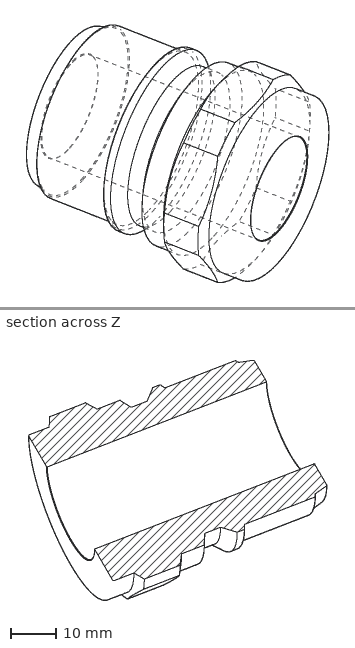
import cadquery as cq

length = 54.0
hex_across_flats = 46.0
hex_corner_radius = 24.45
bore_radius = 12.25
edge_round = 0.45
bore_chamfer = 0.15

nose_tip_radius = 19.0
nose_end = 3.4
nose_end_radius = 19.8
plug_wall_end = 3.55
plug_radius = 20.6
plug_end = 21.05

flange_wall_end = 21.5
flange_radius = 21.8
flange_end = 23.5
groove_radius = 19.0
groove_start = 26.25
groove_end = 30.1
shoulder_start = 31.55

hex_start = 37.1
hex_end = 48.85
hex_front_chamfer = 1.6
hex_rear_chamfer = 1.35
collar_radius = 22.0


def round_up(outline, start, outer_radius):
    """Add a quarter round from a forward-facing wall at X = start up to the outer radius."""
    return outline.radiusArc((start + edge_round, outer_radius), edge_round)


def turned_body():
    """Revolve the stepped outer profile, without the hexagon flats."""
    outline = cq.Workplane("XY").lineTo(0, nose_tip_radius - edge_round)
    outline = round_up(outline, 0, nose_tip_radius)
    outline = outline.lineTo(nose_end, nose_end_radius)

    outline = outline.lineTo(plug_wall_end, plug_radius - edge_round)
    outline = round_up(outline, plug_wall_end, plug_radius)
    outline = outline.lineTo(plug_end, plug_radius)

    outline = outline.lineTo(flange_wall_end, flange_radius - edge_round)
    outline = round_up(outline, flange_wall_end, flange_radius)
    outline = outline.lineTo(flange_end, flange_radius)
    outline = outline.lineTo(groove_start, groove_radius)
    outline = outline.lineTo(groove_end, groove_radius)
    outline = outline.lineTo(shoulder_start, flange_radius)
    outline = outline.lineTo(hex_start, flange_radius)

    outline = outline.lineTo(hex_start + hex_front_chamfer, hex_corner_radius)
    outline = outline.lineTo(hex_end - hex_rear_chamfer, hex_corner_radius)
    outline = outline.lineTo(hex_end, collar_radius)

    outline = outline.lineTo(length - edge_round, collar_radius)
    outline = outline.radiusArc((length, collar_radius - edge_round), edge_round)
    outline = outline.lineTo(length, 0)
    return outline.close().revolve(360, (0, 0, 0), (1, 0, 0))


def hexagon_envelope():
    """Full-length hexagonal prism with flats facing +Z and -Z."""
    prism = cq.Workplane("YZ").polygon(6, hex_across_flats, circumscribed=True).extrude(length)
    return prism.rotate((0, 0, 0), (1, 0, 0), 30)


def bore():
    """Through bore with a small chamfer at each mouth."""
    mouth_radius = bore_radius + bore_chamfer
    profile = [
        (0, 0),
        (0, mouth_radius),
        (bore_chamfer, bore_radius),
        (length - bore_chamfer, bore_radius),
        (length, mouth_radius),
        (length, 0),
    ]
    return cq.Workplane("XY").polyline(profile).close().revolve(360, (0, 0, 0), (1, 0, 0))


result = turned_body().intersect(hexagon_envelope()).cut(bore())